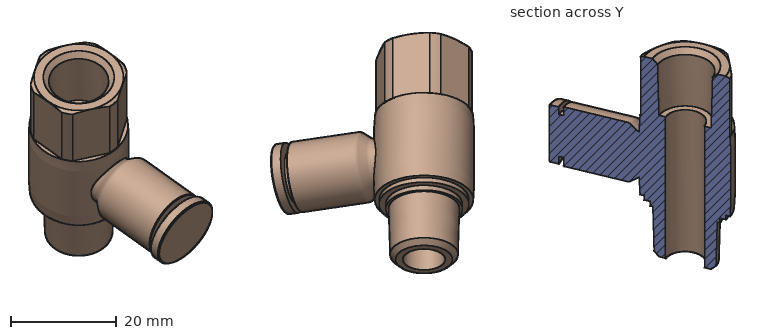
import cadquery as cq
import math

total_height = 44.5
overall_length = 37.6
hex_bottom = 31.0
body_bottom = 13.0
body_diameter = 19.0
body_radius = body_diameter / 2
body_end_radius = 9.35
body_taper_length = 2.6
flange_radius = 8.5
flange_bottom = 12.0
collar_radius = 7.25
collar_bottom = 11.0
thread_top_radius = 6.7
thread_end_radius = 6.45
thread_chamfer_width = 1.05
thread_chamfer_height = 1.05

hex_across_flats = 17.0
hex_corner_radius = 9.25
hex_top_radius = 8.45
hex_chamfer_height = 0.3

bore_mouth_radius = 6.7
bore_top_radius = 5.65
bore_end_radius = 5.35
bore_chamfer_height = bore_mouth_radius - bore_top_radius
bore_depth = 12.45
passage_radius = 4.0

branch_height = (hex_bottom + body_bottom) / 2
neck_radius = 5.05
neck_end = 9.4
sleeve_radius = 6.75
sleeve_start = 11.55
sleeve_end = 25.15
shoulder_blend = 1.05
shoulder_margin = 0.45
sleeve_end_chamfer = 0.15
groove_radius = 4.8

release_start = 26.1
release_end = overall_length - body_radius
release_half_width = 7.48
release_half_height = 6.5
release_chamfer = 0.22


def make_body():
    outline = [
        (0, 0),
        (thread_end_radius - thread_chamfer_width, 0),
        (thread_end_radius, thread_chamfer_height),
        (thread_top_radius, collar_bottom),
        (collar_radius, collar_bottom),
        (collar_radius, flange_bottom),
        (flange_radius, flange_bottom),
        (flange_radius, body_bottom),
        (body_end_radius, body_bottom),
        (body_radius, body_bottom + body_taper_length),
        (body_radius, hex_bottom - body_taper_length),
        (body_end_radius, hex_bottom),
        (0, hex_bottom),
    ]
    return cq.Workplane("XZ").polyline(outline).close().revolve(360, (0, 0), (0, 1))


def make_hex_head():
    across_corners = hex_across_flats / math.cos(math.pi / 6)
    prism = (
        cq.Workplane("XY", origin=(0, 0, hex_bottom))
        .polygon(6, across_corners)
        .extrude(total_height - hex_bottom)
    )
    turned_outline = [
        (0, hex_bottom),
        (hex_corner_radius, hex_bottom),
        (hex_corner_radius, total_height - hex_chamfer_height),
        (hex_top_radius, total_height),
        (0, total_height),
    ]
    turned = cq.Workplane("XZ").polyline(turned_outline).close().revolve(360, (0, 0), (0, 1))
    return prism.intersect(turned)


def make_bore():
    outline = [
        (0, 0),
        (passage_radius, 0),
        (passage_radius, total_height - bore_depth),
        (bore_end_radius, total_height - bore_depth),
        (bore_top_radius, total_height - bore_chamfer_height),
        (bore_mouth_radius, total_height),
        (0, total_height),
    ]
    return cq.Workplane("XZ").polyline(outline).close().revolve(360, (0, 0), (0, 1))


def make_branch():
    outline = [
        (0, 0),
        (0, neck_radius),
        (neck_end, neck_radius),
        (sleeve_start, sleeve_radius),
        (sleeve_end - sleeve_end_chamfer, sleeve_radius),
        (sleeve_end, sleeve_radius - sleeve_end_chamfer),
        (sleeve_end, groove_radius),
        (release_start, groove_radius),
        (release_start, 0),
    ]
    turned = (
        cq.Workplane("XZ", origin=(0, 0, branch_height))
        .polyline(outline)
        .close()
        .revolve(360, (0, 0), (1, 0))
    )
    shoulder_edges = cq.selectors.BoxSelector(
        (neck_end - shoulder_margin, -body_radius, 0),
        (sleeve_start + shoulder_margin, body_radius, total_height),
    )
    turned = turned.edges("%CIRCLE").edges(shoulder_edges).fillet(shoulder_blend)
    release_collar = (
        cq.Workplane("YZ", origin=(release_start, 0, branch_height))
        .ellipse(release_half_width, release_half_height)
        .extrude(release_end - release_start)
        .faces(">X")
        .edges()
        .chamfer(release_chamfer)
    )
    return turned.union(release_collar)


result = make_body().union(make_hex_head()).union(make_branch()).cut(make_bore())